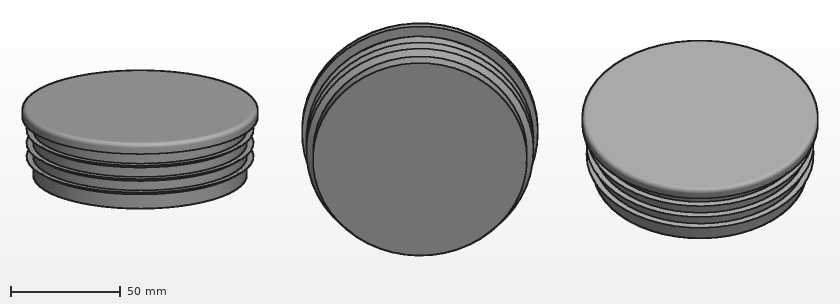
import cadquery as cq

flange_diameter = 108.0
body_diameter = 98.0
total_height = 33.0

flange_thickness = 5.0
flange_edge_radius = 2.0

fin_diameter = 104.0
fin_thickness = 1.9
fin_count = 3
fin_pitch = 6.5
first_fin_drop = 11.2


def make_body():
    return cq.Workplane("XY").circle(body_diameter / 2).extrude(total_height)


def make_flange():
    flange = (
        cq.Workplane("XY")
        .workplane(offset=total_height - flange_thickness)
        .circle(flange_diameter / 2)
        .extrude(flange_thickness)
    )
    return flange.faces(">Z").edges().fillet(flange_edge_radius)


def make_fin(flat_height):
    root_radius = body_diameter / 2
    tip_radius = fin_diameter / 2
    return (
        cq.Workplane("XZ")
        .moveTo(0, flat_height)
        .lineTo(tip_radius, flat_height)
        .lineTo(root_radius, flat_height - fin_thickness)
        .lineTo(0, flat_height - fin_thickness)
        .close()
        .revolve(360, (0, 0, 0), (0, 1, 0))
    )


result = make_body().union(make_flange())
for index in range(fin_count):
    fin_height = total_height - first_fin_drop - index * fin_pitch
    result = result.union(make_fin(fin_height))